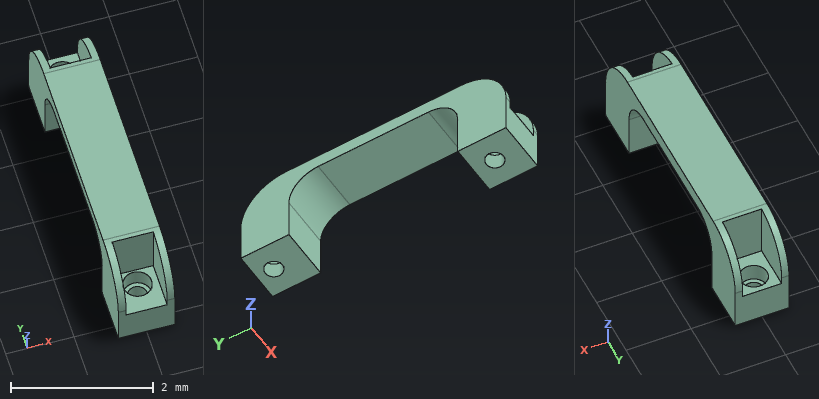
import cadquery as cq

width = 0.83
length = 4.41
height = 1.42

leg_length = 0.803
bridge_thickness = 0.24
outer_radius = 0.75
inner_radius = 0.485

pocket_width = 0.6
pocket_length = 0.685
pocket_floor = 0.555

front_hole_inset = 0.45
back_hole_inset = 0.285
hole_diameter = 0.282
counterbore_diameter = 0.41
counterbore_depth = pocket_floor / 2


def handle_body():
    """Rounded bar with the grip opening removed from below."""
    outer = (
        cq.Workplane("XY")
        .box(width, length, height, centered=(True, True, False))
        .edges("|X and >Z")
        .fillet(outer_radius)
    )
    opening = (
        cq.Workplane("XY")
        .box(width, length - 2 * leg_length, height - bridge_thickness, centered=(True, True, False))
        .edges("|X and >Z")
        .fillet(inner_radius)
    )
    return outer.cut(opening)


def screw_seat(end, hole_inset):
    """Cutter for the pocket and counterbored hole; end is -1 or 1 along Y."""
    pocket = (
        cq.Workplane("XY", origin=(0, end * (length - pocket_length) / 2, pocket_floor))
        .box(pocket_width, pocket_length, height - pocket_floor, centered=(True, True, False))
    )
    hole_y = end * (length / 2 - hole_inset)
    hole = (
        cq.Workplane("XY", origin=(0, hole_y, 0))
        .circle(hole_diameter / 2)
        .extrude(pocket_floor)
    )
    counterbore = (
        cq.Workplane("XY", origin=(0, hole_y, pocket_floor - counterbore_depth))
        .circle(counterbore_diameter / 2)
        .extrude(counterbore_depth)
    )
    return pocket.union(hole).union(counterbore)


result = (
    handle_body()
    .cut(screw_seat(-1, front_hole_inset))
    .cut(screw_seat(1, back_hole_inset))
)